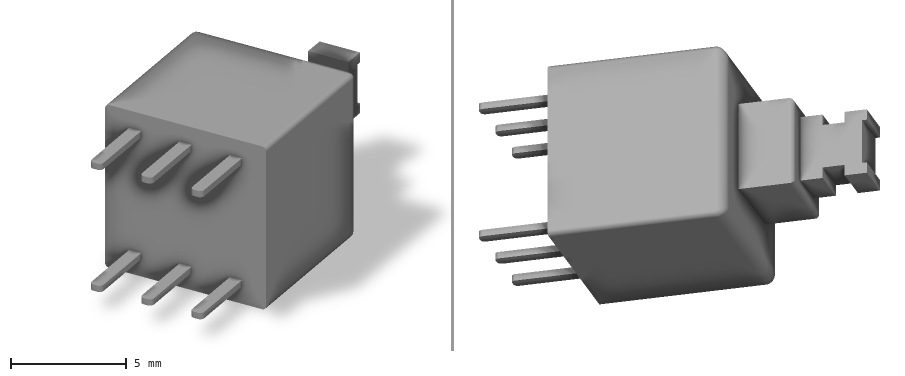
import cadquery as cq

overall_length = 17.0

body_size = 8.0
body_rim_radius = 0.5
body_edge_radius = 0.2

neck_size = 4.01
neck_length = 2.5
neck_rim_radius = 0.2

pin_length = 3.5
pin_width = 0.6
pin_thickness = 0.3
pin_tip_radius = 0.2
pin_pitch = 2.5
pin_row_spacing = 6.0

plunger_width = 2.0
plunger_height = 3.0
plunger_waist = 2.0
plunger_recess_depth = 0.2

neck_end = body_size + neck_length
plunger_end = overall_length - pin_length
plunger_length = plunger_end - neck_end
groove_length = plunger_length / 3


def block(width, length, height, start_y):
    """Box centred on the Y axis, running toward +Y from start_y."""
    return cq.Workplane("XY").box(width, length, height).translate((0, start_y + length / 2, 0))


def make_body():
    body = block(body_size, body_size, body_size, 0)
    body = body.faces(">Y").edges().fillet(body_rim_radius)
    return body.edges("|Y").fillet(body_edge_radius)


def make_neck():
    neck = block(neck_size, neck_length, neck_size, body_size)
    return neck.faces(">Y").edges().fillet(neck_rim_radius)


def make_plunger():
    plunger = block(plunger_width, plunger_length, plunger_height, neck_end)
    groove_depth = (plunger_height - plunger_waist) / 2
    groove = block(plunger_width, groove_length, groove_depth, neck_end + groove_length)
    groove_z = (plunger_waist + groove_depth) / 2
    for side in (-1, 1):
        plunger = plunger.cut(groove.translate((0, 0, side * groove_z)))
    recess_start = plunger_end - plunger_recess_depth
    return plunger.cut(block(plunger_width, plunger_recess_depth, plunger_waist, recess_start))


def make_pin():
    pin = block(pin_width, pin_length, pin_thickness, -pin_length)
    return pin.faces("<Y").edges("|Z").fillet(pin_tip_radius)


result = make_body().union(make_neck()).union(make_plunger())
pin = make_pin()
for column in (-1, 0, 1):
    for row in (-1, 1):
        result = result.union(pin.translate((column * pin_pitch, 0, row * pin_row_spacing / 2)))